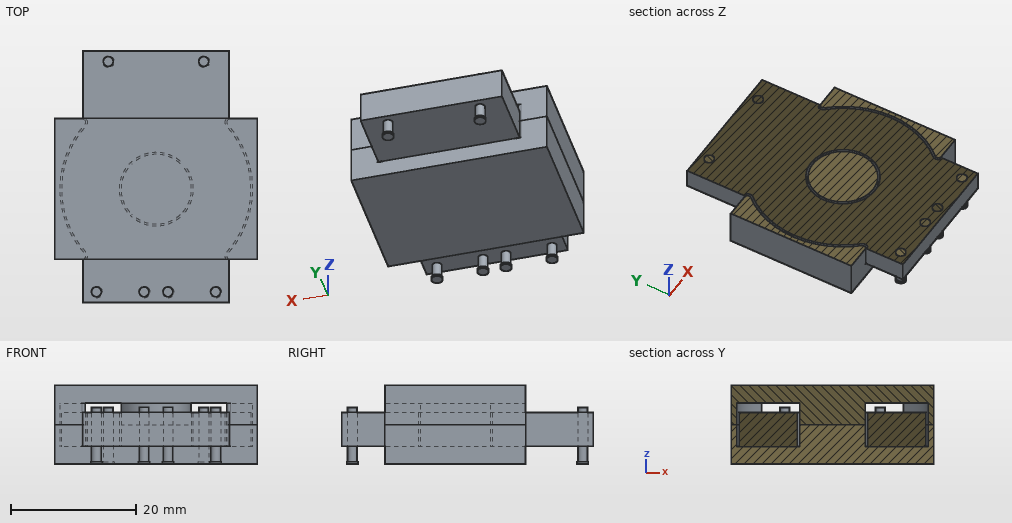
import cadquery as cq
import math


core_width = 32.4
core_depth = 22.5
half_height = 6.3
plate_thickness = 2.85
post_diameter = 11.2

opening_width = 23.7
lip_radius = 0.56
lip_centre_x = opening_width / 2
lip_centre_y = core_depth / 2 - lip_radius
lip_centre_distance = math.hypot(lip_centre_x, lip_centre_y)
leg_wall_radius = lip_centre_distance - lip_radius

board_width = 23.4
board_length = 40.2
board_thickness = 5.4
board_front_overhang = 6.9
board_front_y = -core_depth / 2 - board_front_overhang
board_rear_y = board_front_y + board_length
board_bottom_z = plate_thickness
board_clearance = 0.3

pin_bottom_z = -0.01
pin_diameter = 1.57
pin_flange_diameter = 1.83
pin_flange_thickness = 0.4
pin_top_projection = 0.8
pin_length = board_bottom_z + board_thickness + pin_top_projection - pin_bottom_z
pin_edge_distance = 1.7
pin_grid = 2.54
front_pin_outer_x = 3.75 * pin_grid
front_pin_inner_x = 0.75 * pin_grid
rear_pin_x = 3 * pin_grid

front_pin_y = board_front_y + pin_edge_distance
rear_pin_y = board_rear_y - pin_edge_distance
pin_positions = [
    (-front_pin_outer_x, front_pin_y),
    (-front_pin_inner_x, front_pin_y),
    (front_pin_inner_x, front_pin_y),
    (front_pin_outer_x, front_pin_y),
    (-rear_pin_x, rear_pin_y),
    (rear_pin_x, rear_pin_y),
]


def leg_prism(clearance, bottom_z, height):
    """The +X leg as a prism, grown on its inner side and ends by the clearance."""
    end_y = core_depth / 2 + clearance
    outer_x = core_width / 2
    lip = lip_radius + clearance
    wall = leg_wall_radius - clearance

    lip_angle = math.atan2(lip_centre_y, lip_centre_x)
    meet_x = wall * math.cos(lip_angle)
    meet_y = wall * math.sin(lip_angle)

    middle_angle = (math.pi / 2 + lip_angle + math.pi) / 2
    middle_x = lip_centre_x + lip * math.cos(middle_angle)
    middle_y = lip_centre_y + lip * math.sin(middle_angle)

    return (
        cq.Workplane("XY", origin=(0, 0, bottom_z))
        .moveTo(lip_centre_x, -end_y)
        .lineTo(outer_x, -end_y)
        .lineTo(outer_x, end_y)
        .lineTo(lip_centre_x, end_y)
        .threePointArc((middle_x, middle_y), (meet_x, meet_y))
        .threePointArc((wall, 0), (meet_x, -meet_y))
        .threePointArc((middle_x, -middle_y), (lip_centre_x, -end_y))
        .close()
        .extrude(height)
    )


def cylinder(diameter, bottom_z, height, x=0, y=0):
    return cq.Workplane("XY", origin=(x, y, bottom_z)).circle(diameter / 2).extrude(height)


def make_lower_core():
    plate = cq.Workplane("XY").box(core_width, core_depth, plate_thickness, centered=(True, True, False))
    leg = leg_prism(0, 0, half_height)
    post = cylinder(post_diameter, 0, half_height)
    return plate.union(leg).union(leg.mirror("YZ")).union(post)


def make_board():
    """Straight board with a round winding area that fills the core window between the legs."""
    board = (
        cq.Workplane("XY", origin=(0, (board_front_y + board_rear_y) / 2, board_bottom_z))
        .box(board_width, board_length, board_thickness, centered=(True, True, False))
    )
    winding_diameter = 2 * (leg_wall_radius - board_clearance)
    board = board.union(cylinder(winding_diameter, board_bottom_z, board_thickness))

    core_span = (
        cq.Workplane("XY", origin=(0, 0, board_bottom_z))
        .box(core_width, core_depth, board_thickness, centered=(True, True, False))
    )
    leg_relief = leg_prism(board_clearance, board_bottom_z, board_thickness).intersect(core_span)
    board = board.cut(leg_relief).cut(leg_relief.mirror("YZ"))

    post_hole_diameter = post_diameter + 2 * board_clearance
    board = board.cut(cylinder(post_hole_diameter, board_bottom_z, board_thickness))

    for x, y in pin_positions:
        board = board.cut(cylinder(pin_diameter, board_bottom_z, board_thickness, x, y))
    return board


def make_pin(x, y):
    shank = cylinder(pin_diameter, pin_bottom_z, pin_length, x, y)
    flange = cylinder(pin_flange_diameter, pin_bottom_z, pin_flange_thickness, x, y)
    return shank.union(flange)


lower_core = make_lower_core()
upper_core = lower_core.mirror("XY", (0, 0, half_height))
board = make_board()
pins = [make_pin(x, y) for x, y in pin_positions]

result = cq.Compound.makeCompound([
    *lower_core.solids().vals(),
    *upper_core.solids().vals(),
    *board.solids().vals(),
    *[solid for pin in pins for solid in pin.solids().vals()],
])